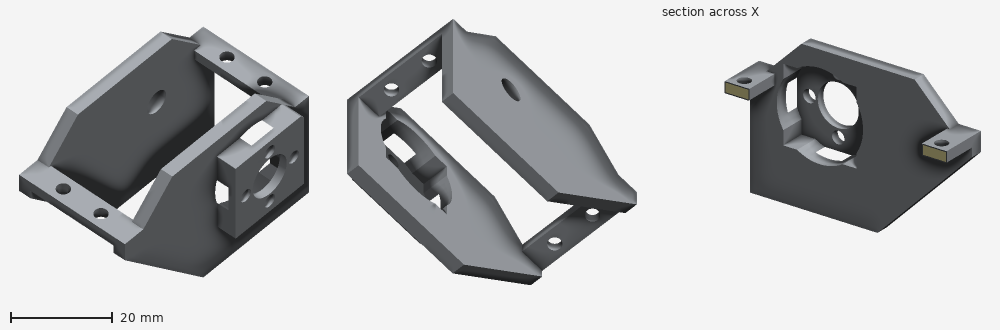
import cadquery as cq

length = 54.0
height = 36.0
frame_width = 28.0
plate_thickness = 3.0

shoulder_height = 27.6
front_toe_height = 23.0
shoulder_front = 5.4
shoulder_back = 4.0
bevel_run = 8.55

flange_depth = 6.0
flange_thickness = 2.5
screw_diameter = 3.0
flange_hole_spacing = 10.0

housing_size = 20.0
housing_projection = 4.95
motor_back_distance = 17.0
motor_y = length - motor_back_distance
motor_z = 21.5
housing_floor = 1.9
bore_diameter = 21.0
square_pocket_size = 17.8
center_hole_diameter = 10.0
motor_screw_radius = 7.0
motor_screw_count = 4
shaft_hole_diameter = 5.5

outer_x = frame_width + housing_projection
pocket_end_x = outer_x - housing_floor
inner_wall_x = frame_width - plate_thickness


def along_x(start_x):
    """Sketch plane facing +X, with its origin on the motor axis."""
    return cq.Workplane("YZ", origin=(start_x, motor_y, motor_z))


def side_plate(start_x):
    outline = [
        (length, 0),
        (length, shoulder_height),
        (length - shoulder_back, shoulder_height),
        (length - shoulder_back - bevel_run, height),
        (shoulder_front + bevel_run, height),
        (shoulder_front, shoulder_height),
        (0, shoulder_height),
        (0, front_toe_height),
        (front_toe_height, 0),
    ]
    return cq.Workplane("YZ", origin=(start_x, 0, 0)).polyline(outline).close().extrude(plate_thickness)


def flange(start_y):
    bottom_z = shoulder_height - flange_thickness
    body = cq.Workplane("XY", origin=(0, start_y, bottom_z)).box(
        frame_width, flange_depth, flange_thickness, centered=False
    )
    holes = (
        cq.Workplane("XY", origin=(frame_width / 2, start_y + flange_depth / 2, bottom_z))
        .rarray(flange_hole_spacing, 0.55, 2, 1)
        .circle(screw_diameter / 2)
        .extrude(flange_thickness)
    )
    return body.cut(holes)


def motor_housing():
    half = housing_size / 2
    bevel_slope = (height - shoulder_height) / bevel_run
    bevel_start_y = length - shoulder_back - motor_y
    bevel_start_z = shoulder_height - motor_z
    trim_z = bevel_start_z + (bevel_start_y - half) * bevel_slope
    trim_y = bevel_start_y - (half - bevel_start_z) / bevel_slope
    outline = [(-half, -half), (half, -half), (half, trim_z), (trim_y, half), (-half, half)]
    return along_x(frame_width).polyline(outline).close().extrude(housing_projection)


def motor_cutout():
    pocket_depth = pocket_end_x - inner_wall_x
    bore = along_x(inner_wall_x).circle(bore_diameter / 2).extrude(pocket_depth)
    pocket = along_x(inner_wall_x).rect(square_pocket_size, square_pocket_size).extrude(pocket_depth)
    center_hole = along_x(pocket_end_x).circle(center_hole_diameter / 2).extrude(housing_floor)
    screw_holes = (
        along_x(pocket_end_x)
        .polarArray(motor_screw_radius, 0, 360, motor_screw_count)
        .circle(screw_diameter / 2)
        .extrude(housing_floor)
    )
    return bore.union(pocket).union(center_hole).union(screw_holes)


shaft_hole = along_x(0).circle(shaft_hole_diameter / 2).extrude(plate_thickness)

result = (
    side_plate(0)
    .union(side_plate(inner_wall_x))
    .union(flange(0))
    .union(flange(length - flange_depth))
    .union(motor_housing())
    .cut(motor_cutout())
    .cut(shaft_hole)
)